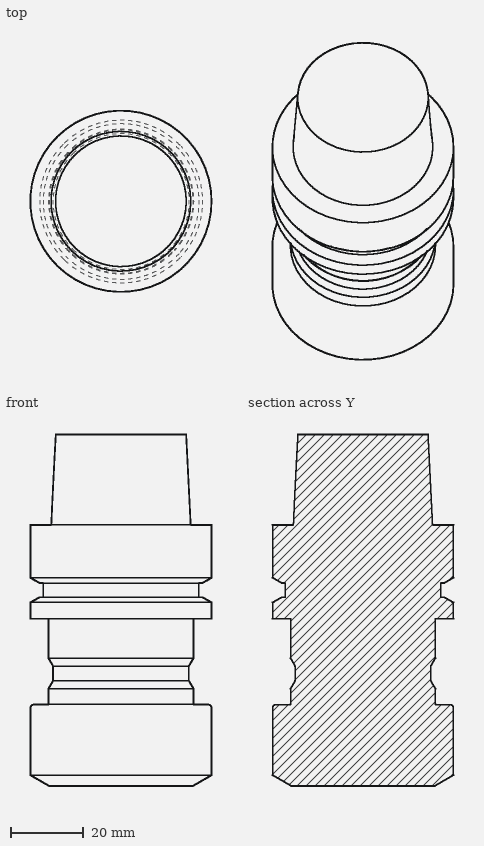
import cadquery as cq
import math


taper_height = 24.9
taper_base_diameter = 38.5
taper_slope = 1 / 10

flange_diameter = 49.95
flange_length = 25.9
groove_center_depth = 18.0
groove_width_at_rim = 6.75
groove_floor_width = 3.85
groove_floor_diameter = 42.95
groove_flank_angle = 30.0

overall_height = 96.9
body_diameter = 40.0
neck_diameter = 37.5
neck_length = 4.0
neck_bottom_height = 29.05
neck_chamfer_angle = 30.0

nut_diameter = 50.0
nut_height = 22.5
nut_fillet_radius = 1.0
nut_face_diameter = 39.6
nut_chamfer_angle = 30.0

taper_base_radius = taper_base_diameter / 2
taper_top_radius = taper_base_radius - taper_height * taper_slope / 2
flange_radius = flange_diameter / 2
groove_floor_radius = groove_floor_diameter / 2
body_radius = body_diameter / 2
neck_radius = neck_diameter / 2
nut_radius = nut_diameter / 2
nut_face_radius = nut_face_diameter / 2

flank_height = (groove_width_at_rim - groove_floor_width) / 2
flank_inner_radius = flange_radius - flank_height / math.tan(math.radians(groove_flank_angle))

nut_bottom = taper_height - overall_height
nut_chamfer_top = nut_bottom + (nut_radius - nut_face_radius) * math.tan(math.radians(nut_chamfer_angle))
nut_top = nut_bottom + nut_height
neck_bottom = nut_bottom + neck_bottom_height
neck_top = neck_bottom + neck_length
neck_chamfer_height = (body_radius - neck_radius) / math.tan(math.radians(neck_chamfer_angle))
groove_rim_bottom = -groove_center_depth - groove_width_at_rim / 2
groove_rim_top = -groove_center_depth + groove_width_at_rim / 2
groove_floor_bottom = -groove_center_depth - groove_floor_width / 2
groove_floor_top = -groove_center_depth + groove_floor_width / 2

fillet_center_radius = nut_radius - nut_fillet_radius
fillet_center_z = nut_top - nut_fillet_radius
fillet_middle_offset = nut_fillet_radius * math.sqrt(0.5)
fillet_middle = (fillet_center_radius + fillet_middle_offset, fillet_center_z + fillet_middle_offset)


def half_profile():
    """Closed half section in the XZ plane, drawn from the nut face up to the taper end."""
    outline = cq.Workplane("XZ").moveTo(0, nut_bottom)

    outline = outline.lineTo(nut_face_radius, nut_bottom)
    outline = outline.lineTo(nut_radius, nut_chamfer_top)
    outline = outline.lineTo(nut_radius, fillet_center_z)
    outline = outline.threePointArc(fillet_middle, (fillet_center_radius, nut_top))

    outline = outline.lineTo(body_radius, nut_top)
    outline = outline.lineTo(body_radius, neck_bottom - neck_chamfer_height)
    outline = outline.lineTo(neck_radius, neck_bottom)
    outline = outline.lineTo(neck_radius, neck_top)
    outline = outline.lineTo(body_radius, neck_top + neck_chamfer_height)
    outline = outline.lineTo(body_radius, -flange_length)

    outline = outline.lineTo(flange_radius, -flange_length)
    outline = outline.lineTo(flange_radius, groove_rim_bottom)
    outline = outline.lineTo(flank_inner_radius, groove_floor_bottom)
    outline = outline.lineTo(groove_floor_radius, groove_floor_bottom)
    outline = outline.lineTo(groove_floor_radius, groove_floor_top)
    outline = outline.lineTo(flank_inner_radius, groove_floor_top)
    outline = outline.lineTo(flange_radius, groove_rim_top)
    outline = outline.lineTo(flange_radius, 0)

    outline = outline.lineTo(taper_base_radius, 0)
    outline = outline.lineTo(taper_top_radius, taper_height)
    return outline.lineTo(0, taper_height).close()


axis_start = (0, 0)
axis_end = (0, 1)
result = half_profile().revolve(360, axis_start, axis_end)